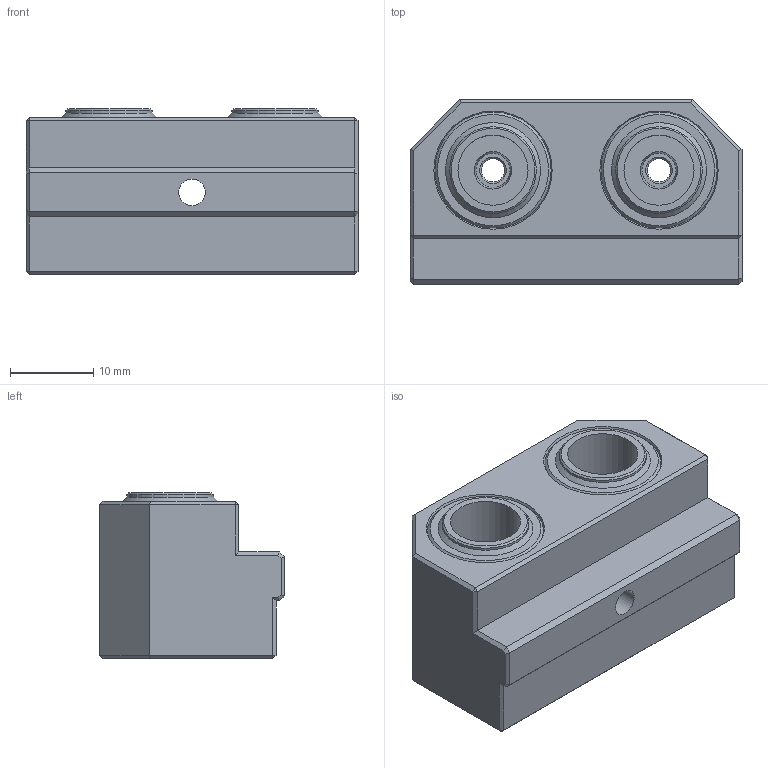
import cadquery as cq

length = 40.0
block_height = 19.0
edge_chamfer = 0.4
back_corner_cut = 6.0

upper_wall_y = -16.75
rail_front_y = -22.25
lower_wall_y = -21.25
rail_top_z = 12.9
rail_bottom_z = 7.0
rail_chamfer = 0.6

cross_hole_diameter = 3.2
cross_hole_z = (rail_top_z + rail_bottom_z) / 2

collar_spacing = 20.0
collar_y = -8.5
collar_top_z = 20.0
collar_diameter = 10.45
collar_rim_chamfer = 0.2
collar_foot_diameter = 11.45
collar_cone_height = (collar_foot_diameter - collar_diameter) / 2

insert_diameter = 14.0
insert_chamfer = 0.3
seat_mouth_diameter = 14.24

bore_diameter = 8.45
bore_floor_z = 5.0
counterbore_diameter = 4.1
counterbore_floor_z = 3.0
counterbore_lead_in_width = 0.2
counterbore_lead_in_depth = 0.75
through_hole_diameter = 2.8
through_hole_chamfer = 0.2


def make_block():
    """Extrude the stepped side profile along X, cut the back corners and break the edges."""
    profile = [
        (0, 0),
        (0, block_height),
        (upper_wall_y, block_height),
        (upper_wall_y, rail_top_z),
        (rail_front_y + rail_chamfer, rail_top_z),
        (rail_front_y, rail_top_z - rail_chamfer),
        (rail_front_y, rail_bottom_z + rail_chamfer),
        (rail_front_y + rail_chamfer, rail_bottom_z),
        (lower_wall_y, rail_bottom_z),
        (lower_wall_y, 0),
    ]
    block = cq.Workplane("YZ").polyline(profile).close().extrude(length / 2, both=True)
    block = block.edges("|Z and >Y").chamfer(back_corner_cut)

    corner_limit_y = -back_corner_cut - edge_chamfer
    end_edges = block.faces("<X or >X").edges().filter(lambda edge: edge.Center().y < corner_limit_y)
    top_and_base_edges = block.faces("<Z or >Z").edges()
    broken_edges = set(end_edges.vals() + top_and_base_edges.vals())
    return block.newObject(list(broken_edges)).chamfer(edge_chamfer)


def revolve_about_z(profile, x):
    """Revolve an (r, z) profile about the vertical axis of the collar at x."""
    solid = cq.Workplane("XZ").polyline(profile).close().revolve(360, (0, 0), (0, 1))
    return solid.translate((x, collar_y, 0))


def make_groove(x):
    insert_radius = insert_diameter / 2
    seat_mouth_radius = seat_mouth_diameter / 2
    floor_z = block_height - insert_chamfer
    profile = [
        (insert_radius - insert_chamfer, block_height),
        (insert_radius, floor_z),
        (seat_mouth_radius, block_height),
    ]
    return revolve_about_z(profile, x)


def make_collar(x):
    radius = collar_diameter / 2
    profile = [
        (0, block_height),
        (collar_foot_diameter / 2, block_height),
        (radius, block_height + collar_cone_height),
        (radius, collar_top_z - collar_rim_chamfer),
        (radius - collar_rim_chamfer, collar_top_z),
        (0, collar_top_z),
    ]
    return revolve_about_z(profile, x)


def make_bore(x):
    bore_radius = bore_diameter / 2
    counterbore_radius = counterbore_diameter / 2
    hole_radius = through_hole_diameter / 2
    profile = [
        (0, 0),
        (hole_radius, 0),
        (hole_radius, counterbore_floor_z - through_hole_chamfer),
        (hole_radius + through_hole_chamfer, counterbore_floor_z),
        (counterbore_radius, counterbore_floor_z),
        (counterbore_radius, bore_floor_z - counterbore_lead_in_depth),
        (counterbore_radius + counterbore_lead_in_width, bore_floor_z),
        (bore_radius, bore_floor_z),
        (bore_radius, collar_top_z),
        (0, collar_top_z),
    ]
    return revolve_about_z(profile, x)


def make_cross_hole():
    hole = cq.Workplane("XZ").center(0, cross_hole_z).circle(cross_hole_diameter / 2)
    return hole.extrude(-rail_front_y)


result = make_block().cut(make_cross_hole())
for collar_x in (-collar_spacing / 2, collar_spacing / 2):
    result = result.cut(make_groove(collar_x))
    result = result.union(make_collar(collar_x))
    result = result.cut(make_bore(collar_x))